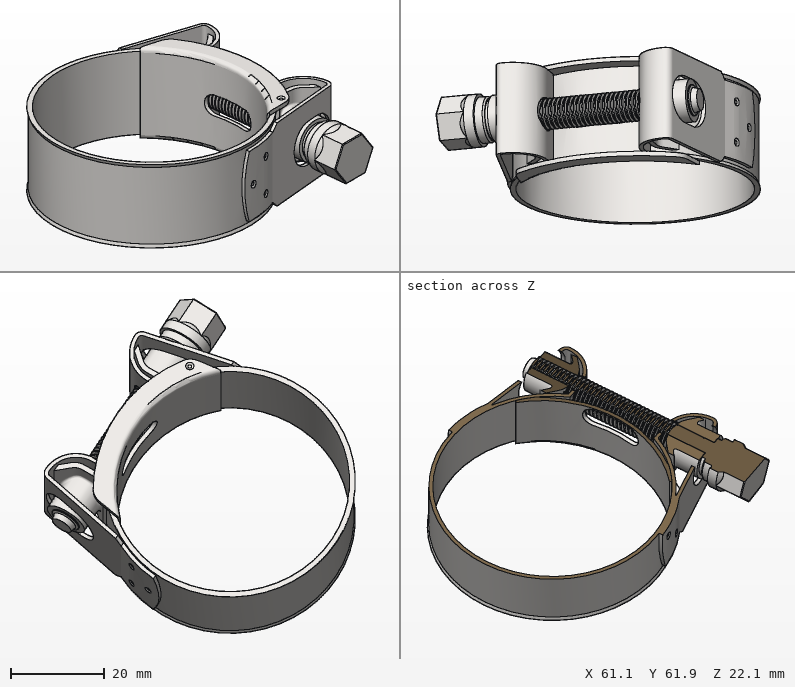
import cadquery as cq
import math

SIDES = (-1, 1)

BAND_INNER_R = 25.5
BAND_OUTER_R = 26.45
BAND_HALF_WIDTH = 10.05
LIP_R = 26.75
LIP_HEIGHT = 0.8

STRIP = 0.9
TAB_OUTER_R = BAND_OUTER_R + STRIP
LOOP_TOP_Y = 35.11
LOOP_ARC_R = 7.6
BOLT_Y = LOOP_TOP_Y - LOOP_ARC_R
LOOP_ARC_X = 18.2
LOOP_FOOT_Y = 23.5
BEND_R = 1.75
KINK_Y = 12.3
TAPER_TOP_Y = 13.9
TAB_HALF_WIDTH = 8.5
TAB_CORNER_Y = 2.5
TAB_END_Y = 1.05
LOOP_SLOT_LENGTH = 13.6
LOOP_SLOT_WIDTH = 10.4
LOOP_SLOT_Y = 27.1
LOOP_BOLT_HOLE_R = 3.6

DIMPLE_R = 0.87
DIMPLE_FLOOR_R = 0.4
DIMPLE_DEPTH = 0.25
TAB_DIMPLES_YZ = ((8.83, 4.5), (8.83, -4.5), (3.97, 0))
BRIDGE_DIMPLE_XY = (17.9, 21.15)

SHEET = 1.0
BRIDGE_CENTRE = (-0.05, -3.95)
BRIDGE_TILT = -1.24
BRIDGE_FLOOR_R = 27.54
BRIDGE_RIM_R = 32.6
BRIDGE_FLOOR_HALF_ANGLE = 46.1
BRIDGE_RIM_HALF_ANGLE = 36.0
BRIDGE_BEND_R = 1.1
BRIDGE_CORNER_R = 4.0
BRIDGE_HALF_WIDTH = BAND_HALF_WIDTH + SHEET
BRIDGE_SLOT_LENGTH = 14.2
BRIDGE_SLOT_WIDTH = 5.0

SADDLE_FRONT_X = 12.6
SADDLE_THICKNESS = 1.2
SADDLE_FLAT_HALF = 2.8
SADDLE_HALF_HEIGHT = 6.1
SADDLE_LEAN = 41.5
SADDLE_HALF_WIDTH = 8.8
SADDLE_BEND_R = 3.0
BARREL_END_X = 22.25
BARREL_FILLET = 0.5
NUT_BARREL_R = 4.66
BUSH_BARREL_R = 5.15

THREAD_R = 3.35
THREAD_ROOT_R = 2.75
THREAD_PITCH = 1.0
THREAD_CREST = 0.3
THREAD_ROOT = 0.3
TIP_X = -23.97
TIP_R = 2.35
THREAD_START_X = -22.7
THREAD_TURNS = 35
COLLAR_R = 4.3
NECK_X = 23.1
NECK_R = 5.0
NECK_CHAMFER = 0.4
FLANGE_X = 25.3
FLANGE_R = 5.7
HEX_X = 27.5
HEX_CORNER_R = 5.77
HEX_TURN = 6.0
HEX_CONE_LENGTH = 1.1
BOLT_END_X = 33.75
HEX_CHAMFER = 0.2


def polar(radius, degrees):
    """Point at an angle measured from +Y toward +X."""
    angle = math.radians(degrees)
    return (radius * math.sin(angle), radius * math.cos(angle))


def cylinder_x(radius, x_start, x_end):
    """Cylinder on the bolt axis."""
    return (
        cq.Workplane("YZ", origin=(x_start, BOLT_Y, 0))
        .circle(radius)
        .extrude(x_end - x_start)
    )


def dimple(point, direction):
    """Conical recess sunk from a surface point along a direction."""
    return cq.Workplane(
        cq.Solid.makeCone(
            DIMPLE_R, DIMPLE_FLOOR_R, DIMPLE_DEPTH, cq.Vector(*point), cq.Vector(*direction)
        )
    )


def extruded_both(sketch, half_width):
    """Solid of a sketch extruded equally to both sides of its plane."""
    return sketch.extrude(half_width, both=True)


def band_ring():
    """Ring with flared lips, open between the inner legs of the loops."""
    lip_start = BAND_HALF_WIDTH - LIP_HEIGHT
    ring = (
        cq.Workplane("XZ")
        .polyline([
            (BAND_INNER_R, -BAND_HALF_WIDTH),
            (LIP_R, -BAND_HALF_WIDTH),
            (BAND_OUTER_R, -lip_start),
            (BAND_OUTER_R, lip_start),
            (LIP_R, BAND_HALF_WIDTH),
            (BAND_INNER_R, BAND_HALF_WIDTH),
        ])
        .close()
        .revolve(360, (0, 0), (0, 1))
    )
    gap = 2 * (LOOP_ARC_X - LOOP_ARC_R)
    opening = cq.Workplane("XY").box(gap, LIP_R, 2 * LIP_R, centered=(True, False, True))
    return ring.cut(opening)


def loop_strip():
    """Strip of the +X loop: outer leg, tight bend, wide arc and inner leg."""
    kink = (math.sqrt(TAB_OUTER_R**2 - KINK_Y**2), KINK_Y)
    bend = (LOOP_ARC_X, LOOP_TOP_Y - BEND_R)
    reach = math.hypot(kink[0] - bend[0], kink[1] - bend[1])
    to_kink = math.atan2(kink[1] - bend[1], kink[0] - bend[0])
    normal = to_kink + math.acos(BEND_R / reach)
    half_normal = (normal + math.pi / 2) / 2

    def on_bend(radius, angle):
        return (bend[0] + radius * math.cos(angle), bend[1] + radius * math.sin(angle))

    def on_arc(radius, degrees):
        x, y = polar(radius, degrees)
        return (LOOP_ARC_X + x, BOLT_Y + y)

    inner_bend_r = BEND_R - STRIP
    inner_arc_r = LOOP_ARC_R - STRIP
    kink_inside = (kink[0] - STRIP * math.cos(normal), kink[1] - STRIP * math.sin(normal))
    profile = (
        cq.Workplane("XY")
        .moveTo(*kink)
        .lineTo(*on_bend(BEND_R, normal))
        .threePointArc(on_bend(BEND_R, half_normal), on_arc(LOOP_ARC_R, 0))
        .threePointArc(on_arc(LOOP_ARC_R, -45), on_arc(LOOP_ARC_R, -90))
        .lineTo(LOOP_ARC_X - LOOP_ARC_R, LOOP_FOOT_Y)
        .lineTo(LOOP_ARC_X - inner_arc_r, LOOP_FOOT_Y)
        .lineTo(*on_arc(inner_arc_r, -90))
        .threePointArc(on_arc(inner_arc_r, -45), on_arc(inner_arc_r, 0))
        .threePointArc(on_bend(inner_bend_r, half_normal), on_bend(inner_bend_r, normal))
        .lineTo(*kink_inside)
        .close()
    )
    return extruded_both(profile, BAND_HALF_WIDTH)


def weld_tab():
    """Curved end of the strip that lies on the outside of the +X half of the band."""
    ring = cq.Workplane("XY").circle(TAB_OUTER_R).circle(BAND_OUTER_R)
    sector = (
        cq.Workplane("XY")
        .box(TAB_OUTER_R, KINK_Y, 2 * BAND_HALF_WIDTH, centered=(False, False, True))
    )
    return extruded_both(ring, BAND_HALF_WIDTH).intersect(sector)


def strip_outline():
    """Side outline of the strip: full width at the loop, tapering to the round-ended tab."""
    return (
        cq.Workplane("YZ")
        .moveTo(LOOP_TOP_Y, -BAND_HALF_WIDTH)
        .lineTo(TAPER_TOP_Y, -BAND_HALF_WIDTH)
        .lineTo(KINK_Y, -TAB_HALF_WIDTH)
        .lineTo(TAB_CORNER_Y, -TAB_HALF_WIDTH)
        .threePointArc((TAB_END_Y, 0), (TAB_CORNER_Y, TAB_HALF_WIDTH))
        .lineTo(KINK_Y, TAB_HALF_WIDTH)
        .lineTo(TAPER_TOP_Y, BAND_HALF_WIDTH)
        .lineTo(LOOP_TOP_Y, BAND_HALF_WIDTH)
        .close()
        .extrude(TAB_OUTER_R)
    )


def band_loop(side):
    """Loop, with its bolt openings and weld dimples, on the given side."""
    loop = loop_strip().union(weld_tab()).intersect(strip_outline())
    barrel_slot = (
        cq.Workplane("YZ", origin=(LOOP_ARC_X, LOOP_SLOT_Y, 0))
        .slot2D(LOOP_SLOT_LENGTH, LOOP_SLOT_WIDTH)
        .extrude(TAB_OUTER_R)
    )
    loop = loop.cut(barrel_slot)
    for y, z in TAB_DIMPLES_YZ:
        x = math.sqrt(TAB_OUTER_R**2 - y**2)
        loop = loop.cut(dimple((x, y, z), (-x, -y, 0)))
    return loop if side > 0 else loop.mirror("YZ")


def make_band():
    band = band_ring()
    for side in SIDES:
        band = band.union(band_loop(side))
    return band.cut(cylinder_x(LOOP_BOLT_HOLE_R, -LOOP_ARC_X, LOOP_ARC_X))


def make_bridge():
    """Curved channel under the band gap; its floor is trimmed where it seats on the band."""
    floor_end = polar(BRIDGE_FLOOR_R, BRIDGE_FLOOR_HALF_ANGLE)
    floor_top_end = polar(BRIDGE_FLOOR_R + SHEET / 2, BRIDGE_FLOOR_HALF_ANGLE)
    rim_end = polar(BRIDGE_RIM_R, BRIDGE_RIM_HALF_ANGLE)
    outline = (
        cq.Workplane("XY")
        .moveTo(-floor_end[0], floor_end[1])
        .threePointArc((0, BRIDGE_FLOOR_R), floor_end)
        .lineTo(*floor_top_end)
        .lineTo(*rim_end)
        .threePointArc((0, BRIDGE_RIM_R), (-rim_end[0], rim_end[1]))
        .lineTo(-floor_top_end[0], floor_top_end[1])
        .close()
    )
    bridge = extruded_both(outline, BRIDGE_HALF_WIDTH)
    for side in SIDES:
        corner = cq.selectors.NearestToPointSelector((side * rim_end[0], rim_end[1], 0))
        bridge = bridge.edges(corner).fillet(BRIDGE_CORNER_R)
        bend = cq.selectors.NearestToPointSelector((0, BRIDGE_FLOOR_R, side * BRIDGE_HALF_WIDTH))
        bridge = bridge.edges(bend).fillet(BRIDGE_BEND_R)

    channel = cq.Workplane("XY").circle(2 * BRIDGE_RIM_R).circle(BRIDGE_FLOOR_R + SHEET)
    bridge = bridge.cut(extruded_both(channel, BAND_HALF_WIDTH))
    bridge = bridge.rotate((0, 0, 0), (0, 0, 1), BRIDGE_TILT).translate((*BRIDGE_CENTRE, 0))

    band_seat = cq.Workplane("XY").circle(LIP_R).circle(BAND_INNER_R)
    bridge = bridge.cut(extruded_both(band_seat, BAND_HALF_WIDTH))
    slot = (
        cq.Workplane("XZ")
        .slot2D(BRIDGE_SLOT_LENGTH, BRIDGE_SLOT_WIDTH)
        .extrude(-BRIDGE_RIM_R)
    )
    bridge = bridge.cut(slot)
    return bridge.cut(dimple((*BRIDGE_DIMPLE_XY, BRIDGE_HALF_WIDTH), (0, 0, -1)))


def saddle_block(face_x, flat_half, bend_r):
    """Block ending at the barrel end whose face is flat in the middle and leans back above and below."""
    lean_run = (SADDLE_HALF_HEIGHT - flat_half) * math.tan(math.radians(SADDLE_LEAN))
    block = (
        cq.Workplane("XY", origin=(0, BOLT_Y, 0))
        .moveTo(face_x, -flat_half)
        .lineTo(face_x, flat_half)
        .lineTo(face_x + lean_run, SADDLE_HALF_HEIGHT)
        .lineTo(BARREL_END_X, SADDLE_HALF_HEIGHT)
        .lineTo(BARREL_END_X, -SADDLE_HALF_HEIGHT)
        .lineTo(face_x + lean_run, -SADDLE_HALF_HEIGHT)
        .close()
    )
    block = extruded_both(block, SADDLE_HALF_WIDTH)
    for end in SIDES:
        bend = cq.selectors.NearestToPointSelector((face_x, BOLT_Y + end * flat_half, 0))
        block = block.edges(bend).fillet(bend_r)
    return block


def make_trunnion(side, barrel_r, bore_r):
    """Bored barrel on a saddle plate whose ends lean back, relieved to clear the band."""
    back_x = SADDLE_FRONT_X + SADDLE_THICKNESS
    back_flat = SADDLE_FLAT_HALF - SADDLE_THICKNESS * math.tan(math.radians(SADDLE_LEAN) / 2)
    front_block = saddle_block(SADDLE_FRONT_X, SADDLE_FLAT_HALF, SADDLE_BEND_R + SADDLE_THICKNESS)
    back_block = saddle_block(back_x, back_flat, SADDLE_BEND_R)
    plate = front_block.cut(back_block)
    barrel = cylinder_x(barrel_r, SADDLE_FRONT_X, BARREL_END_X).intersect(front_block)
    root = cq.selectors.BoxSelector(
        (back_x, BOLT_Y - barrel_r, -barrel_r),
        (back_x + SADDLE_HALF_HEIGHT, BOLT_Y + barrel_r, barrel_r),
    )
    plain_edges = cq.selectors.TypeSelector("LINE")
    trunnion = plate.union(barrel)
    trunnion = trunnion.edges(root - plain_edges).fillet(BARREL_FILLET)
    band_relief = extruded_both(cq.Workplane("XY").circle(BAND_OUTER_R), BAND_HALF_WIDTH)
    trunnion = trunnion.cut(band_relief).cut(cylinder_x(bore_r, 0, BOLT_END_X))
    return trunnion if side > 0 else trunnion.mirror("YZ")


def make_bolt():
    """Bolt with ring-shaped threads, a stepped collar and a hexagon head."""
    outline = [(TIP_X, 0), (TIP_X, TIP_R), (THREAD_START_X, THREAD_ROOT_R)]
    flank = (THREAD_PITCH - THREAD_CREST - THREAD_ROOT) / 2
    for turn in range(THREAD_TURNS):
        x = THREAD_START_X + turn * THREAD_PITCH
        outline += [
            (x + flank, THREAD_R),
            (x + flank + THREAD_CREST, THREAD_R),
            (x + THREAD_PITCH - THREAD_ROOT, THREAD_ROOT_R),
            (x + THREAD_PITCH, THREAD_ROOT_R),
        ]
    thread_end_x = THREAD_START_X + THREAD_TURNS * THREAD_PITCH
    outline += [
        (thread_end_x + flank, THREAD_R),
        (BARREL_END_X, THREAD_R),
        (BARREL_END_X, COLLAR_R),
        (NECK_X, COLLAR_R),
        (NECK_X, NECK_R - NECK_CHAMFER),
        (NECK_X + NECK_CHAMFER, NECK_R),
        (FLANGE_X, NECK_R),
        (FLANGE_X, FLANGE_R),
        (HEX_X, FLANGE_R),
        (HEX_X + HEX_CONE_LENGTH, HEX_CORNER_R * math.cos(math.pi / 6)),
        (HEX_X + HEX_CONE_LENGTH, 0),
    ]
    shaft = (
        cq.Workplane("XY")
        .polyline(outline)
        .close()
        .revolve(360, (0, 0), (1, 0))
        .translate((0, BOLT_Y, 0))
    )
    head = (
        cq.Workplane("YZ", origin=(HEX_X, 0, 0))
        .polygon(6, 2 * HEX_CORNER_R)
        .extrude(BOLT_END_X - HEX_X)
        .faces(">X")
        .chamfer(HEX_CHAMFER)
        .rotate((0, 0, 0), (1, 0, 0), HEX_TURN)
        .translate((0, BOLT_Y, 0))
    )
    return shaft.union(head)


band = make_band()
bridge = make_bridge()
nut = make_trunnion(-1, NUT_BARREL_R, THREAD_R)
bush = make_trunnion(1, BUSH_BARREL_R, THREAD_R)
bolt = make_bolt()

result = cq.Compound.makeCompound([band.val(), bridge.val(), nut.val(), bush.val(), bolt.val()])